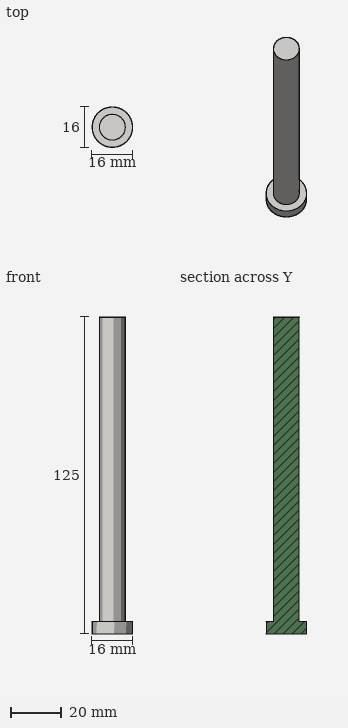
import cadquery as cq

total_length = 125.0
head_diameter = 16.0
head_height = 5.0
shank_diameter = 10.2

shank_length = total_length - head_height


def make_head():
    return cq.Workplane("XY").circle(head_diameter / 2).extrude(head_height)


def make_shank():
    return (
        cq.Workplane("XY")
        .workplane(offset=head_height)
        .circle(shank_diameter / 2)
        .extrude(shank_length)
    )


result = make_head().union(make_shank())